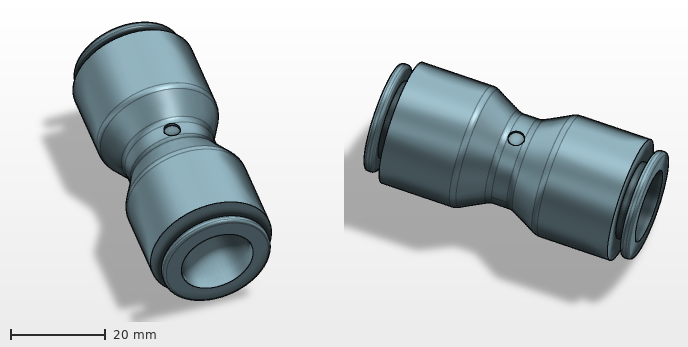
import cadquery as cq
import math

overall_length = 60.2
bore_radius = 8.0

flange_radius = 12.0
flange_width = 2.05
flange_outer_fillet = 0.6
flange_inner_fillet = 0.75
sleeve_radius = 8.6
sleeve_exposed_length = 2.15

barrel_radius = 13.5
waist_radius = 10.0
cone_outer_x = 9.25
cone_inner_x = 2.45
cone_blend_radius = 3.0

recess_diameter = 3.5
recess_depth = 0.7

half_length = overall_length / 2
flange_inner_x = half_length - flange_width
barrel_end_x = flange_inner_x - sleeve_exposed_length


def revolve_about_x(profile):
    return profile.close().revolve(360, (0, 0, 0), (1, 0, 0))


def make_body_half():
    """Waist, blended cone and barrel on the +X side, as a solid of revolution."""
    cone_angle = math.atan2(barrel_radius - waist_radius, cone_outer_x - cone_inner_x)
    tangent_length = cone_blend_radius * math.tan(cone_angle / 2)
    along_x = tangent_length * math.cos(cone_angle)
    along_radius = tangent_length * math.sin(cone_angle)
    profile = (
        cq.Workplane("XY")
        .lineTo(0, waist_radius)
        .lineTo(cone_inner_x - tangent_length, waist_radius)
        .tangentArcPoint((cone_inner_x + along_x, waist_radius + along_radius), relative=False)
        .lineTo(cone_outer_x - along_x, barrel_radius - along_radius)
        .tangentArcPoint((cone_outer_x + tangent_length, barrel_radius), relative=False)
        .lineTo(barrel_end_x, barrel_radius)
        .lineTo(barrel_end_x, 0)
    )
    return revolve_about_x(profile)


def make_collar():
    """Sleeve and rounded flange of the +X release collar."""
    sleeve = (
        cq.Workplane("YZ")
        .workplane(offset=barrel_end_x)
        .circle(sleeve_radius)
        .extrude(sleeve_exposed_length)
    )
    flange = (
        cq.Workplane("YZ")
        .workplane(offset=flange_inner_x)
        .circle(flange_radius)
        .extrude(flange_width)
        .faces(">X").edges().fillet(flange_outer_fillet)
        .faces("<X").edges().fillet(flange_inner_fillet)
    )
    return sleeve.union(flange)


def make_bore():
    return (
        cq.Workplane("YZ")
        .circle(bore_radius)
        .extrude(half_length, both=True)
    )


def make_recess():
    return (
        cq.Workplane("XY")
        .workplane(offset=waist_radius - recess_depth)
        .circle(recess_diameter / 2)
        .extrude(barrel_radius - waist_radius + recess_depth)
    )


half = make_body_half().union(make_collar())
coupling = half.union(half.mirror("YZ"))
result = coupling.cut(make_bore()).cut(make_recess())